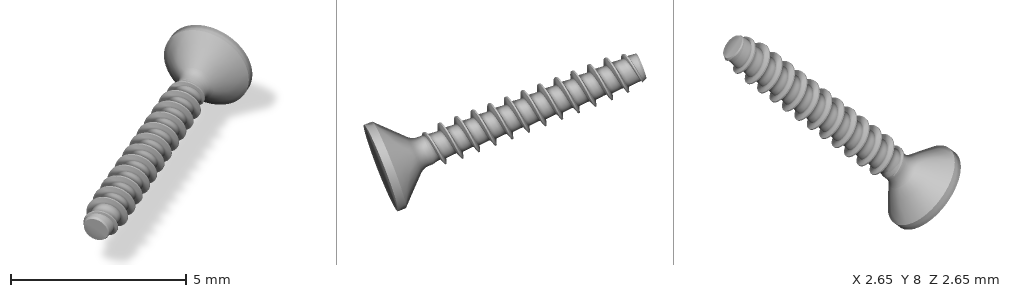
import math

import cadquery as cq


TOTAL_LENGTH = 8.0
HEAD_RADIUS = 2.65 / 2
HEAD_RIM_HEIGHT = 0.25
HEAD_CONE_ANGLE = math.radians(45)

SHANK_RADIUS = 0.44
NECK_FILLET_RADIUS = 0.4
SHANK_END_DEPTH = 1.43
CORE_START_DEPTH = 1.6

CORE_RADIUS = 0.395
TIP_RADIUS = 0.375
TIP_TAPER_LENGTH = 0.04

PITCH = 0.51
CREST_RADIUS = 0.6
RAMP_RADIUS = 0.42
CREST_HALF_WIDTH = 0.022
HEAD_FLANK_WIDTH = 0.073
TIP_FLANK_WIDTH = 0.048
RAMP_END = 0.335
RAMP_OVERRUN = 0.04
ROOT_EMBED = 0.05

THREAD_TURNS = 13.0
FADE_IN_TURNS = 1.0
FADE_OUT_TURNS = 1.5
FADE_IN_RADIUS = 0.47
FADE_OUT_RADIUS = 0.43
THREAD_START_DEPTH = TOTAL_LENGTH - THREAD_TURNS * PITCH
STRETCH_TURNS = 0.5
SPLINE_STEPS_PER_STRETCH = 8


def make_body():
    """Head, shank and core as one revolved profile."""
    fillet_drop = NECK_FILLET_RADIUS * (1 - math.cos(HEAD_CONE_ANGLE))
    cone_end_radius = SHANK_RADIUS + fillet_drop
    cone_end_depth = HEAD_RIM_HEIGHT + (HEAD_RADIUS - cone_end_radius) / math.tan(HEAD_CONE_ANGLE)
    fillet_end_depth = cone_end_depth + NECK_FILLET_RADIUS * math.sin(HEAD_CONE_ANGLE)

    half_angle = HEAD_CONE_ANGLE / 2
    fillet_mid = (
        SHANK_RADIUS + NECK_FILLET_RADIUS * (1 - math.cos(half_angle)),
        -(fillet_end_depth - NECK_FILLET_RADIUS * math.sin(half_angle)),
    )
    return (
        cq.Workplane("XY")
        .lineTo(HEAD_RADIUS, 0)
        .lineTo(HEAD_RADIUS, -HEAD_RIM_HEIGHT)
        .lineTo(cone_end_radius, -cone_end_depth)
        .threePointArc(fillet_mid, (SHANK_RADIUS, -fillet_end_depth))
        .lineTo(SHANK_RADIUS, -SHANK_END_DEPTH)
        .lineTo(CORE_RADIUS, -CORE_START_DEPTH)
        .lineTo(CORE_RADIUS, -TOTAL_LENGTH)
        .lineTo(0, -TOTAL_LENGTH)
        .close()
        .revolve(360, (0, 0, 0), (0, 1, 0))
    )


def crest_radius(turn):
    """Crest radius: rises over the fade-in, stays full, then sinks over the fade-out."""
    if turn < FADE_IN_TURNS:
        return FADE_IN_RADIUS + (CREST_RADIUS - FADE_IN_RADIUS) * turn / FADE_IN_TURNS
    turns_left = THREAD_TURNS - turn
    if turns_left < FADE_OUT_TURNS:
        return FADE_OUT_RADIUS + (CREST_RADIUS - FADE_OUT_RADIUS) * turns_left / FADE_OUT_TURNS
    return CREST_RADIUS


def thread_section(turn):
    """Corners of the thread section as (radius, axial offset toward the tip)."""
    crest = crest_radius(turn)
    root = CORE_RADIUS - ROOT_EMBED
    head_slope = HEAD_FLANK_WIDTH / (CREST_RADIUS - CORE_RADIUS)
    tip_slope = TIP_FLANK_WIDTH / (CREST_RADIUS - RAMP_RADIUS)
    ramp_top = CREST_HALF_WIDTH + (crest - RAMP_RADIUS) * tip_slope
    ramp_slope = (RAMP_RADIUS - CORE_RADIUS) / (RAMP_END - CREST_HALF_WIDTH - TIP_FLANK_WIDTH)
    return [
        (root, -CREST_HALF_WIDTH - (crest - root) * head_slope),
        (crest, -CREST_HALF_WIDTH),
        (crest, CREST_HALF_WIDTH),
        (RAMP_RADIUS, ramp_top),
        (CORE_RADIUS - RAMP_OVERRUN * ramp_slope, RAMP_END + RAMP_OVERRUN),
        (root, RAMP_END + RAMP_OVERRUN),
    ]


def section_points(turn):
    """Corners of the thread section in space."""
    angle = 2 * math.pi * turn
    depth = THREAD_START_DEPTH + PITCH * turn
    return [
        cq.Vector(radius * math.sin(angle), -(depth + offset), -radius * math.cos(angle))
        for radius, offset in thread_section(turn)
    ]


def end_cap(turn):
    return cq.Face.makeFromWires(cq.Wire.makePolygon(section_points(turn), close=True))


def thread_stretch(first_turn, last_turn):
    """Helical faces of the thread between two turn counts."""
    turn_step = (last_turn - first_turn) / SPLINE_STEPS_PER_STRETCH
    turns = [first_turn + turn_step * i for i in range(SPLINE_STEPS_PER_STRETCH + 1)]
    corner_paths = zip(*[section_points(turn) for turn in turns])
    edges = [cq.Edge.makeSpline(list(path)) for path in corner_paths]
    next_edges = edges[1:] + edges[:1]
    return [cq.Face.makeRuledSurface(a, b) for a, b in zip(edges, next_edges)]


def make_thread():
    """Closed thread solid, built from stretches of half a turn each."""
    faces = [end_cap(0), end_cap(THREAD_TURNS)]
    for stretch in range(round(THREAD_TURNS / STRETCH_TURNS)):
        first_turn = stretch * STRETCH_TURNS
        faces += thread_stretch(first_turn, first_turn + STRETCH_TURNS)
    solid = cq.Solid.makeSolid(cq.Shell.makeShell(faces))
    return cq.Workplane(obj=solid.fix())


def tip_trim():
    """Everything past the flat tip and outside the slight taper leading up to it."""
    taper_slope = TIP_TAPER_LENGTH / (CORE_RADIUS - TIP_RADIUS)
    taper_top_depth = TOTAL_LENGTH - (CREST_RADIUS - TIP_RADIUS) * taper_slope
    trim_end_depth = TOTAL_LENGTH + PITCH
    return (
        cq.Workplane("XY")
        .moveTo(0, -TOTAL_LENGTH)
        .lineTo(TIP_RADIUS, -TOTAL_LENGTH)
        .lineTo(CREST_RADIUS, -taper_top_depth)
        .lineTo(HEAD_RADIUS, -taper_top_depth)
        .lineTo(HEAD_RADIUS, -trim_end_depth)
        .lineTo(0, -trim_end_depth)
        .close()
        .revolve(360, (0, 0, 0), (0, 1, 0))
    )


result = make_body().union(make_thread()).cut(tip_trim())